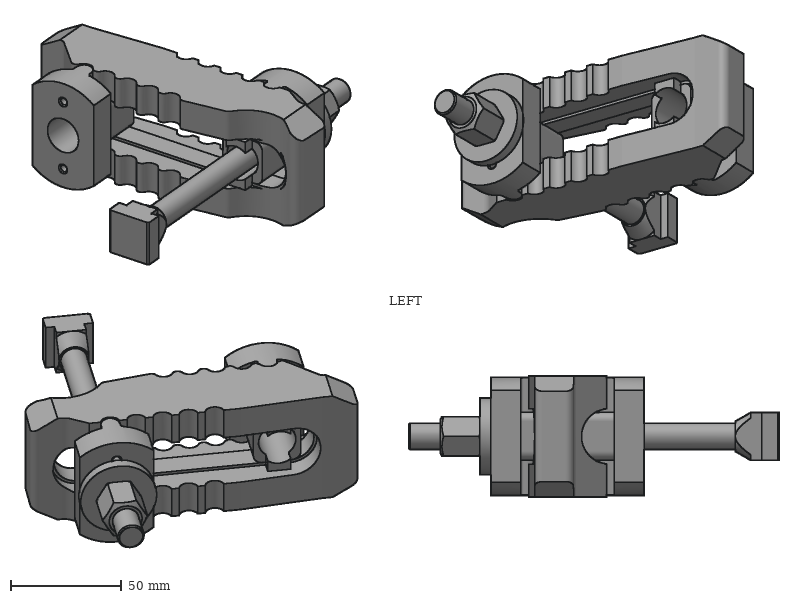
import cadquery as cq
import math


BOLT_LENGTH = 168.0
BOLT_RADIUS = 6.0
BOLT_TIP_CHAMFER = 0.7
HEAD_SIDE = 21.8
HEAD_HEIGHT = 8.0
HEAD_CHAMFER_WIDTH = 1.0
HEAD_CHAMFER_HEIGHT = 0.7
NECK_HALF_WIDTH = 6.9
NECK_SHOULDER_Y = 13.0
NECK_TOP_Y = 20.0

NUT_FLATS = 18.0
NUT_HEIGHT = 18.0
NUT_TOP_FACE_RADIUS = 7.5
NUT_FOOT_FACE_RADIUS = 9.7
NUT_CHAMFER_ANGLE = 30.0
WASHER_RADIUS = 17.5
WASHER_HOLE_RADIUS = 6.5
WASHER_THICKNESS = 5.0

NOTCH_COUNT = 5
NOTCH_ROW_SPAN = 48.0
PITCH = NOTCH_ROW_SPAN / (NOTCH_COUNT - 1)
NOTCH_RADIUS = 4.4
PEAK_RADIUS = 2.5
UPPER_NOTCH_Y = 114.5
LOWER_NOTCH_Y = 77.5
LOWER_PAD_X = -79.0

PAD_RADIUS = 26.9
PAD_WIDTH = 34.0
PAD_THICKNESS = 13.6
PAD_BORE_RADIUS = 8.5
RIDGE_STANDOFF = 2.5
RIDGE_FILLET = 1.2
BOSS_SIDE = 21.8
BOSS_CORNER_RADIUS = 4.0
BOSS_LENGTH = 26.9
TONGUE_LENGTH = 32.3
TONGUE_WIDTH = 10.5
TONGUE_SPAN = 24.9
SCREW_HOLE_OFFSET = 17.3
SCREW_HOLE_RADIUS = 1.7
SCREW_HOLE_CHAMFER = 0.7
SCREW_HOLE_DEPTH = 8.4

BAR_THICKNESS = 55.0
BAR_LEFT_X = -114.9
BAR_RIGHT_X = 35.1
TOP_Y = 113.5
LEFT_TOP_Y = 110.9
LEFT_BOTTOM_Y = 93.4
HEEL_START_Y = 93.0
TAPER_START_X = -98.3
TAPER_END_X = -60.0
TOP_CREST_END_X = 9.5
TOP_FALL_ANGLE = 34.0
RIGHT_TOP_Y = 107.2
RIGHT_DRAFT = 0.5
NOSE_Y = 86.2
ARCH_X = 15.6
ARCH_TOP_Y = 91.0
ARCH_RADIUS = 20.7
HEEL_SLOPE_ANGLE = 45.0
BELLY_ANGLE = 8.0
BAR_CORNER_FILLET = 3.5
HEEL_FILLET = 3.5
SHOULDER_FILLET = 6.9
BELLY_FILLET = 3.0
END_BEVEL_LENGTH = 12.1
END_BEVEL_ANGLE = 30.0

SLOT_LEFT_X = -84.8
SLOT_RIGHT_X = 12.6
SLOT_WIDTH = 22.2
RECESS_WIDTH = 25.0
LOWER_RECESS_FLOOR_Y = 90.4
UPPER_RECESS_FLOOR_Y = 101.6


def polar(centre, radius, angle):
    """Point on a circle; the angle is in degrees."""
    turn = math.radians(angle)
    return (centre[0] + radius * math.cos(turn), centre[1] + radius * math.sin(turn))


def bar_outline():
    """Closed outline of the clamp bar, and the sharp corners that get fillets, with their radii."""
    centre_distance = NOTCH_RADIUS + PEAK_RADIUS
    blend_angle = math.degrees(math.acos(PITCH / 2 / centre_distance))
    peak_y = LOWER_NOTCH_Y + centre_distance * math.sin(math.radians(blend_angle))
    first_peak = (LOWER_PAD_X - PITCH / 2, peak_y)
    last_peak = (first_peak[0] + NOTCH_COUNT * PITCH, peak_y)

    heel_end = polar(first_peak, PEAK_RADIUS, -90 - HEEL_SLOPE_ANGLE)
    heel_run = (HEEL_START_Y - heel_end[1]) / math.tan(math.radians(HEEL_SLOPE_ANGLE))
    heel_start = (heel_end[0] - heel_run, HEEL_START_Y)

    belly_start = polar(last_peak, PEAK_RADIUS, -90 + BELLY_ANGLE)
    arch = (ARCH_X, ARCH_TOP_Y - ARCH_RADIUS)
    belly_turn = math.radians(BELLY_ANGLE)
    offset_x = arch[0] - belly_start[0]
    offset_y = arch[1] - belly_start[1]
    along = offset_x * math.cos(belly_turn) + offset_y * math.sin(belly_turn)
    across = offset_y * math.cos(belly_turn) - offset_x * math.sin(belly_turn)
    belly_length = along - math.sqrt(ARCH_RADIUS**2 - across**2)
    belly_end = polar(belly_start, belly_length, BELLY_ANGLE)

    nose_left = (arch[0] + math.sqrt(ARCH_RADIUS**2 - (NOSE_Y - arch[1]) ** 2), NOSE_Y)
    nose_right = (BAR_RIGHT_X - RIGHT_DRAFT, NOSE_Y)
    right_top = (BAR_RIGHT_X, RIGHT_TOP_Y)
    fall_run = (TOP_Y - RIGHT_TOP_Y) / math.tan(math.radians(TOP_FALL_ANGLE))
    shoulder = (TOP_CREST_END_X + fall_run, RIGHT_TOP_Y)
    left_top = (BAR_LEFT_X, LEFT_TOP_Y)
    left_bottom = (BAR_LEFT_X, LEFT_BOTTOM_Y)

    outline = cq.Workplane("XY").workplane(offset=-BAR_THICKNESS / 2)
    outline = outline.moveTo(*left_bottom).lineTo(*heel_start).lineTo(*heel_end)

    for index in range(NOTCH_COUNT):
        peak = (first_peak[0] + index * PITCH, peak_y)
        notch = (LOWER_PAD_X + index * PITCH, LOWER_NOTCH_Y)
        outline = outline.threePointArc(polar(peak, PEAK_RADIUS, -90), polar(peak, PEAK_RADIUS, -blend_angle))
        notch_end = polar(notch, NOTCH_RADIUS, blend_angle)
        outline = outline.threePointArc(polar(notch, NOTCH_RADIUS, 90), notch_end)
    outline = outline.threePointArc(polar(last_peak, PEAK_RADIUS, -90), belly_start)

    outline = outline.lineTo(*belly_end).threePointArc((ARCH_X, ARCH_TOP_Y), nose_left)
    outline = outline.lineTo(*nose_right).lineTo(*right_top).lineTo(*shoulder).lineTo(TOP_CREST_END_X, TOP_Y)

    half_opening = math.sqrt(NOTCH_RADIUS**2 - (UPPER_NOTCH_Y - TOP_Y) ** 2)
    for index in range(NOTCH_COUNT):
        notch_x = -index * PITCH
        outline = outline.lineTo(notch_x + half_opening, TOP_Y)
        deepest_point = (notch_x, UPPER_NOTCH_Y - NOTCH_RADIUS)
        outline = outline.threePointArc(deepest_point, (notch_x - half_opening, TOP_Y))

    outline = outline.lineTo(TAPER_END_X, TOP_Y).lineTo(TAPER_START_X, LEFT_TOP_Y).lineTo(*left_top).close()
    corners = [
        (left_bottom, BAR_CORNER_FILLET),
        (left_top, BAR_CORNER_FILLET),
        (right_top, BAR_CORNER_FILLET),
        (nose_left, BAR_CORNER_FILLET),
        (nose_right, BAR_CORNER_FILLET),
        (heel_start, HEEL_FILLET),
        (shoulder, SHOULDER_FILLET),
        (belly_end, BELLY_FILLET),
    ]
    return outline, corners


def slot_cutter(width, bottom_y, top_y):
    """Round-ended slot of the given width, running along Y between two levels."""
    centre_x = (SLOT_LEFT_X + SLOT_RIGHT_X) / 2
    length = SLOT_RIGHT_X - SLOT_LEFT_X + width
    return (
        cq.Workplane("XZ", origin=(centre_x, top_y, 0))
        .slot2D(length, width)
        .extrude(top_y - bottom_y)
    )


def make_clamp_bar():
    outline, corners = bar_outline()
    bar = outline.extrude(BAR_THICKNESS)
    for (x, y), radius in corners:
        bar = bar.edges(cq.selectors.NearestToPointSelector((x, y, 0))).fillet(radius)

    half = BAR_THICKNESS / 2
    tip_half = half - END_BEVEL_LENGTH * math.tan(math.radians(END_BEVEL_ANGLE))
    left_bevel_x = BAR_LEFT_X + END_BEVEL_LENGTH
    right_bevel_x = BAR_RIGHT_X - END_BEVEL_LENGTH
    bevelled_block = (
        cq.Workplane("XZ", origin=(0, BOLT_LENGTH, 0))
        .moveTo(BAR_LEFT_X, -tip_half)
        .lineTo(left_bevel_x, -half)
        .lineTo(right_bevel_x, -half)
        .lineTo(BAR_RIGHT_X, -tip_half)
        .lineTo(BAR_RIGHT_X, tip_half)
        .lineTo(right_bevel_x, half)
        .lineTo(left_bevel_x, half)
        .lineTo(BAR_LEFT_X, tip_half)
        .close()
        .extrude(BOLT_LENGTH)
    )
    bar = bar.intersect(bevelled_block)

    bar = bar.cut(slot_cutter(SLOT_WIDTH, 0, BOLT_LENGTH))
    bar = bar.cut(slot_cutter(RECESS_WIDTH, 0, LOWER_RECESS_FLOOR_Y))
    return bar.cut(slot_cutter(RECESS_WIDTH, UPPER_RECESS_FLOOR_Y, BOLT_LENGTH))


def make_pad():
    """Support pad with its underside on the XY plane and its boss pointing along +Z."""
    plate_length = 2 * PAD_RADIUS
    plate = (
        cq.Workplane("XY")
        .workplane(offset=-PAD_THICKNESS)
        .circle(PAD_RADIUS)
        .extrude(PAD_THICKNESS + RIDGE_STANDOFF + NOTCH_RADIUS)
        .intersect(cq.Workplane("XY").box(PAD_WIDTH, plate_length, plate_length))
    )

    half = PAD_WIDTH / 2
    foot = NOTCH_RADIUS + RIDGE_FILLET
    profile = (
        cq.Workplane("XZ", origin=(0, PAD_RADIUS, 0))
        .moveTo(-half, -PAD_THICKNESS)
        .lineTo(half, -PAD_THICKNESS)
        .lineTo(half, 0)
        .lineTo(foot, 0)
        .radiusArc((NOTCH_RADIUS, RIDGE_FILLET), RIDGE_FILLET)
        .lineTo(NOTCH_RADIUS, RIDGE_STANDOFF)
        .threePointArc((0, RIDGE_STANDOFF + NOTCH_RADIUS), (-NOTCH_RADIUS, RIDGE_STANDOFF))
        .lineTo(-NOTCH_RADIUS, RIDGE_FILLET)
        .radiusArc((-foot, 0), RIDGE_FILLET)
        .lineTo(-half, 0)
        .close()
        .extrude(plate_length)
    )
    pad = plate.intersect(profile)

    boss = (
        cq.Workplane("XY")
        .rect(BOSS_SIDE, BOSS_SIDE)
        .extrude(BOSS_LENGTH)
        .edges("|Z")
        .fillet(BOSS_CORNER_RADIUS)
    )
    tongue = (
        cq.Workplane("XY")
        .workplane(offset=BOSS_LENGTH)
        .rect(TONGUE_WIDTH, TONGUE_SPAN)
        .extrude(TONGUE_LENGTH - BOSS_LENGTH)
    )
    pad = pad.union(boss).union(tongue)

    bore = (
        cq.Workplane("XY")
        .workplane(offset=-PAD_THICKNESS)
        .circle(PAD_BORE_RADIUS)
        .extrude(PAD_THICKNESS + TONGUE_LENGTH)
    )
    pad = pad.cut(bore)
    for side in (-1, 1):
        hole = screw_hole_cutter().translate((0, side * SCREW_HOLE_OFFSET, -PAD_THICKNESS))
        pad = pad.cut(hole)
    return pad


def screw_hole_cutter():
    """Blind hole from Z = 0 upward, with a chamfered mouth and a conical end."""
    return (
        cq.Workplane("XZ")
        .moveTo(0, 0)
        .lineTo(SCREW_HOLE_RADIUS + SCREW_HOLE_CHAMFER, 0)
        .lineTo(SCREW_HOLE_RADIUS, SCREW_HOLE_CHAMFER)
        .lineTo(SCREW_HOLE_RADIUS, SCREW_HOLE_DEPTH)
        .lineTo(0, SCREW_HOLE_DEPTH + SCREW_HOLE_RADIUS / math.sqrt(3))
        .close()
        .revolve(360, (0, 0, 0), (0, 1, 0))
    )


def make_pads():
    """The two pads, one seated in a lower notch and one in an upper notch."""
    seats = [
        (LOWER_PAD_X, LOWER_NOTCH_Y - RIDGE_STANDOFF, -90),
        (0, UPPER_NOTCH_Y + RIDGE_STANDOFF, 90),
    ]
    pads = []
    for x, y, turn in seats:
        pad = make_pad().rotate((0, 0, 0), (1, 0, 0), turn).translate((x, y, 0))
        pads.append(pad.val())
    return pads


def make_washer(base_y):
    return (
        cq.Workplane("XZ", origin=(0, base_y, 0))
        .circle(WASHER_RADIUS)
        .circle(WASHER_HOLE_RADIUS)
        .extrude(-WASHER_THICKNESS)
    )


def make_nut(base_y):
    corner_diameter = NUT_FLATS / math.cos(math.radians(30))
    corner = corner_diameter / 2
    slope = math.tan(math.radians(NUT_CHAMFER_ANGLE))
    hexagon = cq.Workplane("XZ").polygon(6, corner_diameter).circle(BOLT_RADIUS).extrude(-NUT_HEIGHT)
    turned_blank = (
        cq.Workplane("XY")
        .lineTo(NUT_FOOT_FACE_RADIUS, 0)
        .lineTo(corner, (corner - NUT_FOOT_FACE_RADIUS) * slope)
        .lineTo(corner, NUT_HEIGHT - (corner - NUT_TOP_FACE_RADIUS) * slope)
        .lineTo(NUT_TOP_FACE_RADIUS, NUT_HEIGHT)
        .lineTo(0, NUT_HEIGHT)
        .close()
        .revolve(360, (0, 0, 0), (0, 1, 0))
    )
    return hexagon.intersect(turned_blank).translate((0, base_y, 0))


def make_bolt():
    half = HEAD_SIDE / 2
    tee = (
        cq.Workplane("XY")
        .workplane(offset=-half)
        .moveTo(-half + HEAD_CHAMFER_WIDTH, 0)
        .lineTo(half - HEAD_CHAMFER_WIDTH, 0)
        .lineTo(half, HEAD_CHAMFER_HEIGHT)
        .lineTo(half, HEAD_HEIGHT)
        .lineTo(NECK_HALF_WIDTH, HEAD_HEIGHT)
        .lineTo(NECK_HALF_WIDTH, NECK_TOP_Y)
        .lineTo(-NECK_HALF_WIDTH, NECK_TOP_Y)
        .lineTo(-NECK_HALF_WIDTH, HEAD_HEIGHT)
        .lineTo(-half, HEAD_HEIGHT)
        .lineTo(-half, HEAD_CHAMFER_HEIGHT)
        .close()
        .extrude(HEAD_SIDE)
    )
    square_block = cq.Workplane("XZ").rect(HEAD_SIDE, HEAD_SIDE).extrude(-NECK_SHOULDER_Y)
    cone = (
        cq.Workplane("XY")
        .moveTo(0, NECK_SHOULDER_Y)
        .lineTo(half, NECK_SHOULDER_Y)
        .lineTo(NECK_HALF_WIDTH, NECK_TOP_Y)
        .lineTo(0, NECK_TOP_Y)
        .close()
        .revolve(360, (0, 0, 0), (0, 1, 0))
    )
    head = tee.intersect(square_block.union(cone))
    shank = (
        cq.Workplane("XZ", origin=(0, HEAD_HEIGHT, 0))
        .circle(BOLT_RADIUS)
        .extrude(HEAD_HEIGHT - BOLT_LENGTH)
        .faces(">Y")
        .chamfer(BOLT_TIP_CHAMFER)
    )
    return head.union(shank)


washer_base_y = UPPER_NOTCH_Y + RIDGE_STANDOFF + PAD_THICKNESS
nut_base_y = washer_base_y + WASHER_THICKNESS

clamp_bar = make_clamp_bar()
support_pads = make_pads()
washer = make_washer(washer_base_y)
nut = make_nut(nut_base_y)
bolt = make_bolt()

result = cq.Compound.makeCompound([clamp_bar.val(), *support_pads, washer.val(), nut.val(), bolt.val()])